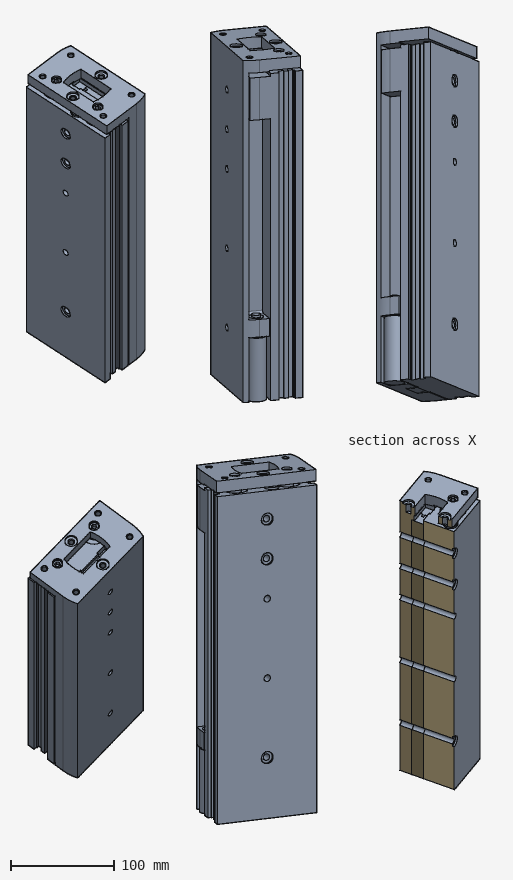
import cadquery as cq


WIDTH = 104.0
DEPTH = 60.0
HEIGHT = 345.8
HALF_WIDTH = WIDTH / 2
CUT_MARGIN = 3.5

HOUSING_TOP = 331.0
HOUSING_DEPTH = 33.0
HOLE_DIAMETER = 6.5
COUNTERBORE_DIAMETER = 12.0
COUNTERBORE_DEPTH = 2.0
HOLE_PITCH = 40.0
UPPER_HOLE_Z = 302.2
COUNTERBORED_HOLE_STEPS = (0, 1, 6)
PLAIN_HOLE_STEPS = (2, 4)
ROD_RECESS_DIAMETER = 25.0
ROD_RECESS_DEPTH = 2.0
STOP_DIAMETER = 14.2
STOP_HEIGHT = 2.0
STOP_X = 8.3
STOP_Y = 8.5

STOP_BLOCK_BOTTOM = 285.3
STOP_BLOCK_TOP = 328.0
STOP_BLOCK_BACK = 53.5
STOP_BLOCK_CLEARANCE = 0.7

GROOVE_CENTRE_Y = 16.0
GROOVE_MOUTH_WIDTH = 16.5
GROOVE_INNER_WIDTH = 14.5
GROOVE_RIB_WIDTH = 4.5
GROOVE_MOUTH_DEPTH = 3.0
GROOVE_SLOT_DEPTH = 5.5

SLIDE_FRONT = 34.2
PLATE_BOTTOM = 334.0
RECESS_TOP = 333.0
PLATE_FRONT = 2.5
BACK_WIDTH = 98.2
SIDE_CURVE_START_Y = 44.3
SIDE_RECESS_BACK = 54.5
SIDE_RECESS_DEPTH = 20.7
BLOCK_BOTTOM = 65.5
BLOCK_TOP = 83.5
TRAVEL_FILLET_BOTTOM = 2.5
TRAVEL_FILLET_TOP = 3.0

OPENING_CENTRE_Y = 30.5
OPENING_HEIGHT = 25.0
OPENING_WIDTH = 43.0
OPENING_EDGE_WIDTH = 39.5
POCKET_MARGIN = 1.0
PLATE_HOLE_Y = 10.5
THREAD_DIAMETER = 5.0
THREAD_SINK_DIAMETER = 6.5
SCREW_SEAT_DIAMETER = 10.0

RAIL_WIDTH = 25.0
RAIL_BACK = 46.7
RAIL_TOP = 326.5
RAIL_GROOVE_Y = 40.0
RAIL_GROOVE_WIDTH = 2.0
RAIL_GROOVE_DEPTH = 3.0

ROD_X = 27.3
ROD_Y = 16.3
ROD_DIAMETER = 12.8
ROD_BOTTOM = 173.0
ROD_NECK_DIAMETER = 8.5
ROD_NECK_TOP = 343.7
SOCKET_DIAMETER = 5.5
SOCKET_DEPTH = 5.2

SHOCK_X = -42.0
SHOCK_Y = 44.3
SHOCK_BODY_DIAMETER = 20.0
SHOCK_NECK_DIAMETER = 14.2
SHOCK_TIP_DIAMETER = 8.5
SHOCK_TIP_HEIGHT = 2.5
SHOCK_CHAMFER = 1.0


def box(x_min, x_max, y_min, y_max, z_min, z_max):
    size = (x_max - x_min, y_max - y_min, z_max - z_min)
    return cq.Workplane("XY").box(*size, centered=False).translate((x_min, y_min, z_min))


def upright_cylinder(x, y, diameter, z_min, z_max):
    return cq.Workplane("XY", origin=(x, y, z_min)).circle(diameter / 2).extrude(z_max - z_min)


def front_hole(z, diameter, depth):
    """Cylinder that enters the front face at height z."""
    start = -CUT_MARGIN
    return cq.Workplane("XZ", origin=(0, start, z)).circle(diameter / 2).extrude(start - depth)


def mounting_hole_cutter():
    """All five holes that run through the whole unit from front to back."""
    cutter = cq.Workplane("XY")
    for step in COUNTERBORED_HOLE_STEPS + PLAIN_HOLE_STEPS:
        cutter = cutter.add(front_hole(UPPER_HOLE_Z - step * HOLE_PITCH, HOLE_DIAMETER, DEPTH + CUT_MARGIN))
    return cutter.combine()


def rounded_section(front_y, z_min, z_max):
    """Block whose sides are flat at the front and curve inward toward the back."""
    return (
        cq.Workplane("XY", origin=(0, 0, z_min))
        .moveTo(0, front_y)
        .lineTo(HALF_WIDTH, front_y)
        .lineTo(HALF_WIDTH, SIDE_CURVE_START_Y)
        .tangentArcPoint((BACK_WIDTH / 2, DEPTH), relative=False)
        .lineTo(0, DEPTH)
        .mirrorY()
        .extrude(z_max - z_min)
    )


def sensor_groove(side):
    """Stepped groove along one side (side is -1 or +1), with a rib in its middle."""
    def band(width, depth):
        x_edges = sorted((side * (HALF_WIDTH - depth), side * (HALF_WIDTH + CUT_MARGIN)))
        y_edges = (GROOVE_CENTRE_Y - width / 2, GROOVE_CENTRE_Y + width / 2)
        return box(*x_edges, *y_edges, 0, HOUSING_TOP)

    mouth = band(GROOVE_MOUTH_WIDTH, GROOVE_MOUTH_DEPTH)
    slots = band(GROOVE_INNER_WIDTH, GROOVE_SLOT_DEPTH).cut(band(GROOVE_RIB_WIDTH, GROOVE_SLOT_DEPTH))
    return mouth.union(slots)


def stop_block():
    """Block beside the slide that follows the outline of the slide."""
    inner_x = -HALF_WIDTH + SIDE_RECESS_DEPTH - STOP_BLOCK_CLEARANCE
    section = rounded_section(HOUSING_DEPTH, STOP_BLOCK_BOTTOM, STOP_BLOCK_TOP)
    return section.intersect(
        box(-HALF_WIDTH, inner_x, HOUSING_DEPTH, STOP_BLOCK_BACK, STOP_BLOCK_BOTTOM, STOP_BLOCK_TOP)
    )


def make_housing():
    housing = box(-HALF_WIDTH, HALF_WIDTH, 0, HOUSING_DEPTH, 0, HOUSING_TOP)
    housing = housing.union(
        box(-RAIL_WIDTH / 2, RAIL_WIDTH / 2, HOUSING_DEPTH, SLIDE_FRONT, 0, HOUSING_TOP)
    )
    housing = housing.union(
        upright_cylinder(STOP_X, STOP_Y, STOP_DIAMETER, HOUSING_TOP, HOUSING_TOP + STOP_HEIGHT)
    )
    housing = housing.union(stop_block())
    for side in (-1, 1):
        housing = housing.cut(sensor_groove(side))
        rod_x = side * ROD_X
        recess_floor = HOUSING_TOP - ROD_RECESS_DEPTH
        housing = housing.cut(
            upright_cylinder(rod_x, ROD_Y, ROD_RECESS_DIAMETER, recess_floor, HOUSING_TOP)
        )
        housing = housing.cut(upright_cylinder(rod_x, ROD_Y, ROD_DIAMETER, ROD_BOTTOM, HOUSING_TOP))
    for step in COUNTERBORED_HOLE_STEPS:
        counterbore_z = UPPER_HOLE_Z - step * HOLE_PITCH
        housing = housing.cut(front_hole(counterbore_z, COUNTERBORE_DIAMETER, COUNTERBORE_DEPTH))
    return housing.cut(mounting_hole_cutter())


def rail_bar(top):
    """Bar with a running groove along each side, from the lower end up to the given height."""
    half_width = RAIL_WIDTH / 2
    bar = box(-half_width, half_width, SLIDE_FRONT, RAIL_BACK, 0, top)
    for side in (-1, 1):
        groove_x = side * (half_width - RAIL_GROOVE_DEPTH / 2)
        groove = cq.Workplane("XY", origin=(groove_x, RAIL_GROOVE_Y, 0))
        bar = bar.cut(groove.rect(RAIL_GROOVE_DEPTH, RAIL_GROOVE_WIDTH).extrude(top))
    return bar


def make_rail():
    return rail_bar(RAIL_TOP).cut(mounting_hole_cutter())


def side_recess(z_min, z_max):
    """Pocket in the left side of the slide."""
    inner_x = -HALF_WIDTH + SIDE_RECESS_DEPTH
    return box(
        -HALF_WIDTH - CUT_MARGIN, inner_x, SLIDE_FRONT - CUT_MARGIN, SIDE_RECESS_BACK, z_min, z_max
    )


def plate_opening():
    """Opening with flat long sides and bulging ends."""
    half_height = OPENING_HEIGHT / 2
    half_edge = OPENING_EDGE_WIDTH / 2
    return (
        cq.Workplane("XY", origin=(0, OPENING_CENTRE_Y, RECESS_TOP))
        .moveTo(-half_edge, -half_height)
        .lineTo(half_edge, -half_height)
        .threePointArc((OPENING_WIDTH / 2, 0), (half_edge, half_height))
        .lineTo(-half_edge, half_height)
        .threePointArc((-OPENING_WIDTH / 2, 0), (-half_edge, -half_height))
        .close()
        .extrude(HEIGHT - RECESS_TOP)
    )


def threaded_hole(x, y, top):
    """Hole through the plate, countersunk at the given height."""
    sink_depth = (THREAD_SINK_DIAMETER - THREAD_DIAMETER) / 2
    sink = cq.Solid.makeCone(
        THREAD_DIAMETER / 2, THREAD_SINK_DIAMETER / 2, sink_depth, pnt=cq.Vector(x, y, top - sink_depth)
    )
    return upright_cylinder(x, y, THREAD_DIAMETER, PLATE_BOTTOM, top).union(cq.Workplane(sink))


def cut_plate_holes(plate):
    seat_floor = HEIGHT - COUNTERBORE_DEPTH
    for y in (PLATE_HOLE_Y, PLATE_HOLE_Y + HOLE_PITCH):
        plate = plate.cut(upright_cylinder(0, y, COUNTERBORE_DIAMETER, seat_floor, HEIGHT))
        plate = plate.cut(threaded_hole(0, y, seat_floor))
        for x in (-HOLE_PITCH, HOLE_PITCH):
            plate = plate.cut(threaded_hole(x, y, HEIGHT))
    for x in (-ROD_X, ROD_X):
        plate = plate.cut(upright_cylinder(x, ROD_Y, ROD_NECK_DIAMETER, PLATE_BOTTOM, HEIGHT))
        plate = plate.cut(upright_cylinder(x, ROD_Y, SCREW_SEAT_DIAMETER, ROD_NECK_TOP, HEIGHT))
    return plate


def make_slide():
    slide = rounded_section(SLIDE_FRONT, 0, HEIGHT)
    slide = slide.union(rounded_section(PLATE_FRONT, PLATE_BOTTOM, HEIGHT))
    slide = slide.cut(rail_bar(RAIL_TOP))
    half_pocket = OPENING_WIDTH / 2 + POCKET_MARGIN
    pocket_back = OPENING_CENTRE_Y + OPENING_HEIGHT / 2 + POCKET_MARGIN
    slide = slide.cut(box(-half_pocket, half_pocket, SLIDE_FRONT, pocket_back, RAIL_TOP, RECESS_TOP))
    slide = slide.cut(side_recess(0, BLOCK_BOTTOM))
    travel = side_recess(BLOCK_TOP, RECESS_TOP)
    travel = travel.edges("|Y and >X and <Z").fillet(TRAVEL_FILLET_BOTTOM)
    travel = travel.edges("|Y and >X and >Z").fillet(TRAVEL_FILLET_TOP)
    slide = slide.cut(travel)
    slide = slide.cut(upright_cylinder(SHOCK_X, SHOCK_Y, SHOCK_NECK_DIAMETER, BLOCK_BOTTOM, BLOCK_TOP))
    slide = slide.cut(plate_opening())
    slide = cut_plate_holes(slide)
    return slide.cut(mounting_hole_cutter())


def make_rod(x):
    """Rod that butts against the end plate and enters it with a socketed neck."""
    rod = upright_cylinder(x, ROD_Y, ROD_DIAMETER, ROD_BOTTOM, PLATE_BOTTOM)
    rod = rod.union(upright_cylinder(x, ROD_Y, ROD_NECK_DIAMETER, PLATE_BOTTOM, ROD_NECK_TOP))
    socket = cq.Workplane("XY", origin=(x, ROD_Y, ROD_NECK_TOP))
    return rod.cut(socket.polygon(6, SOCKET_DIAMETER).extrude(-SOCKET_DEPTH))


def make_shock_absorber():
    """Cylinder below the slide block, with a neck through the block and a tip above it."""
    shock = upright_cylinder(SHOCK_X, SHOCK_Y, SHOCK_BODY_DIAMETER, 0, BLOCK_BOTTOM)
    shock = shock.faces(">Z").chamfer(SHOCK_CHAMFER)
    shock = shock.union(upright_cylinder(SHOCK_X, SHOCK_Y, SHOCK_NECK_DIAMETER, BLOCK_BOTTOM, BLOCK_TOP))
    tip_top = BLOCK_TOP + SHOCK_TIP_HEIGHT
    return shock.union(upright_cylinder(SHOCK_X, SHOCK_Y, SHOCK_TIP_DIAMETER, BLOCK_TOP, tip_top))


housing = make_housing()
slide = make_slide()
rail = make_rail()
rods = [make_rod(x) for x in (-ROD_X, ROD_X)]
shock_absorber = make_shock_absorber()

result = cq.Compound.makeCompound(
    [housing.val(), slide.val(), rail.val(), *[rod.val() for rod in rods], shock_absorber.val()]
)